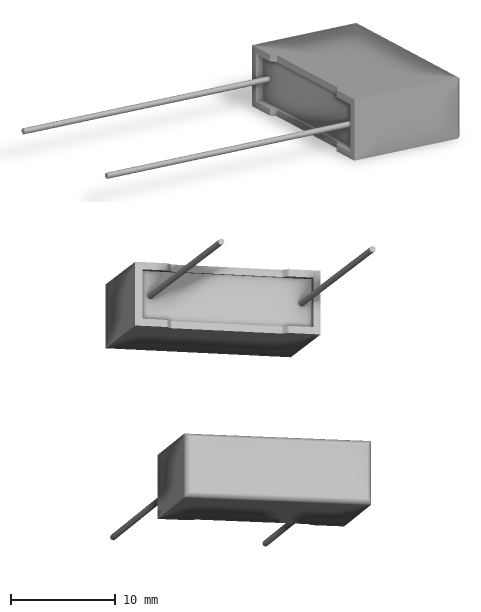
import cadquery as cq

overall_length = 39.1
case_width = 18.3
case_height = 6.2
case_depth = 12.12

wall = 0.7
rear_fillet = 0.5
notch_depth = 0.45
notch_mouth_width = 11.93
notch_floor_width = notch_mouth_width - 2 * notch_depth

fill_recess = 0.8
lead_diameter = 0.6
lead_spacing = 14.95

lead_tip_y = case_depth - overall_length
cavity_width = case_width - 2 * wall
cavity_height = case_height - 2 * wall
fill_length = case_depth - wall - fill_recess


def block_from(start_y, width, length, height):
    """Block centred in X and Z that runs towards +Y from start_y."""
    return (
        cq.Workplane("XY")
        .box(width, length, height, centered=(True, False, True))
        .translate((0, start_y, 0))
    )


def make_notch():
    """Trapezoid cut through both large walls at the case mouth."""
    return (
        cq.Workplane("XY")
        .polyline([
            (-notch_mouth_width / 2, 0),
            (-notch_floor_width / 2, notch_depth),
            (notch_floor_width / 2, notch_depth),
            (notch_mouth_width / 2, 0),
        ])
        .close()
        .extrude(case_height / 2, both=True)
    )


def make_case():
    """Open box with a rounded rear and notched mouth."""
    outside = block_from(0, case_width, case_depth, case_height).faces(">Y").edges().fillet(rear_fillet)
    cavity = block_from(0, cavity_width, case_depth - wall, cavity_height)
    return outside.cut(cavity).cut(make_notch())


def make_fill():
    """Potting block that fills the case behind the recessed face."""
    return block_from(fill_recess, cavity_width, fill_length, cavity_height)


def make_lead(x):
    """Straight round wire from the potting face to the lead tip."""
    return (
        cq.Workplane("XZ", origin=(x, fill_recess, 0))
        .circle(lead_diameter / 2)
        .extrude(fill_recess - lead_tip_y)
    )


case = make_case()
fill = make_fill()
leads = [make_lead(side * lead_spacing / 2) for side in (-1, 1)]

result = cq.Compound.makeCompound([case.val(), fill.val(), *[lead.val() for lead in leads]])